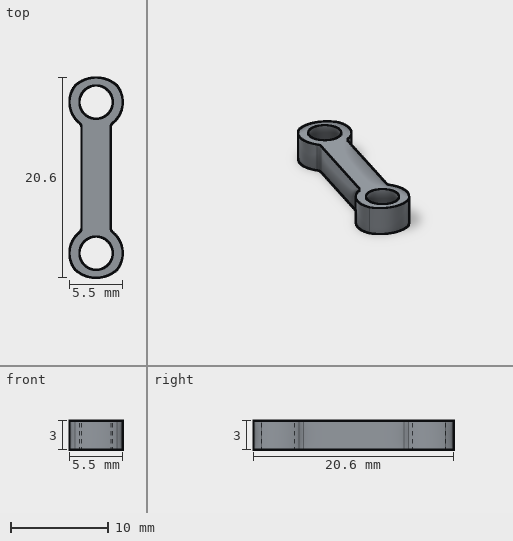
import cadquery as cq
import math

length = 20.58
thickness = 3.0
bar_width = 3.0
hole_spacing = 15.5
hole_diameter = 3.4
eye_diameter = 5.5
end_arc_radius = 3.2
neck_fillet_radius = 0.6

eye_radius = eye_diameter / 2
eye_y = hole_spacing / 2


def make_eye(side):
    """Round eye at the end given by side (+1 or -1), trimmed by the flatter end arc."""
    end_arc_y = length / 2 - end_arc_radius
    eye = cq.Workplane("XY").center(0, side * eye_y).circle(eye_radius).extrude(thickness)
    end_disc = cq.Workplane("XY").center(0, side * end_arc_y).circle(end_arc_radius).extrude(thickness)
    inner_half = cq.Workplane("XY").center(0, side * eye_y / 2).rect(eye_diameter, eye_y).extrude(thickness)
    return eye.intersect(end_disc.union(inner_half))


link = cq.Workplane("XY").rect(bar_width, hole_spacing).extrude(thickness)
for end in (1, -1):
    link = link.union(make_eye(end))

corner_x = bar_width / 2
corner_y = eye_y - math.sqrt(eye_radius**2 - corner_x**2)
for x_side in (1, -1):
    for y_side in (1, -1):
        corner = (x_side * corner_x, y_side * corner_y, thickness / 2)
        link = link.edges(cq.NearestToPointSelector(corner)).fillet(neck_fillet_radius)

hole_centres = [(0, eye_y), (0, -eye_y)]
holes = cq.Workplane("XY").pushPoints(hole_centres).circle(hole_diameter / 2).extrude(thickness)
result = link.cut(holes)